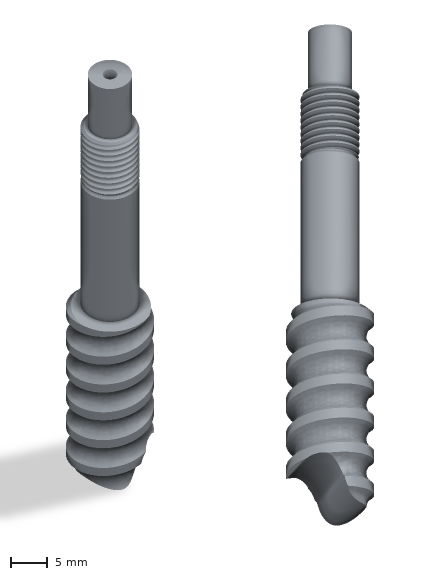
import cadquery as cq
import math

total_length = 70.0
tip_length = 9.0
thread_length = 10.0
worm_length = 29.0
thread_top = total_length - tip_length
thread_bottom = thread_top - thread_length

worm_diameter = 12.0
shaft_diameter = 8.0
relief_diameter = 7.3
tip_diameter = 6.0
worm_radius = worm_diameter / 2
shaft_radius = shaft_diameter / 2
relief_radius = relief_diameter / 2

thread_turns = 10
thread_pitch = thread_length / thread_turns
thread_crest_width = 0.2
thread_depth = 0.55
relief_depth = shaft_radius - relief_radius
thread_overcut = 0.1
relief_width = 0.2

pitch_ratio = 5
worm_pitch = pitch_ratio * thread_pitch
worm_groove_radius = 2.0
worm_groove_depth = 1.05
worm_groove_start = -4.35
worm_groove_top = worm_length + worm_pitch / 2

centre_hole_diameter = 1.0
centre_mouth_diameter = 2.0
centre_hole_depth = 2.0

lobe_radius = worm_radius / 2


def cylinder(diameter, bottom, top):
    return cq.Workplane("XY").workplane(offset=bottom).circle(diameter / 2).extrude(top - bottom)


def helical_cutter(profile, pitch, height, path_radius, start):
    """Sweep an XZ profile up a right-handed helix that starts on the +X side."""
    path = cq.Wire.makeHelix(pitch, height, path_radius).translate(cq.Vector(0, 0, start))
    return profile.sweep(cq.Workplane(obj=path), isFrenet=True)


def worm_groove():
    centre_radius = worm_radius - worm_groove_depth + worm_groove_radius
    profile = cq.Workplane("XZ").center(centre_radius, worm_groove_start).circle(worm_groove_radius)
    height = worm_groove_top - worm_groove_start
    cutter = helical_cutter(profile, worm_pitch, height, centre_radius, worm_groove_start)
    return cutter.rotate((0, 0, 0), (0, 0, 1), -90)


def thread_groove():
    start = thread_bottom + relief_depth + relief_width / 2
    half_width = (thread_pitch - thread_crest_width) / 2
    outer_half_width = half_width * (thread_depth + thread_overcut) / thread_depth
    outer_radius = shaft_radius + thread_overcut
    profile = (
        cq.Workplane("XZ")
        .moveTo(shaft_radius - thread_depth, start)
        .lineTo(outer_radius, start + outer_half_width)
        .lineTo(outer_radius, start - outer_half_width)
        .close()
    )
    height = thread_top + thread_pitch - start
    return helical_cutter(profile, thread_pitch, height, shaft_radius, start)


def thread_relief():
    """Ring with 45 degree flanks below the thread."""
    return (
        cq.Workplane("XZ")
        .moveTo(shaft_radius, thread_bottom)
        .lineTo(relief_radius, thread_bottom + relief_depth)
        .lineTo(relief_radius, thread_bottom + relief_depth + relief_width)
        .lineTo(shaft_radius, thread_bottom + 2 * relief_depth + relief_width)
        .close()
        .revolve(360, (0, 0, 0), (0, 1, 0))
    )


def centre_drilling():
    """Cylindrical hole with a 60 degree conical mouth."""
    hole_radius = centre_hole_diameter / 2
    mouth_radius = centre_mouth_diameter / 2
    mouth_depth = (mouth_radius - hole_radius) / math.tan(math.radians(30))
    return (
        cq.Workplane("XZ")
        .moveTo(0, total_length)
        .lineTo(mouth_radius, total_length)
        .lineTo(hole_radius, total_length - mouth_depth)
        .lineTo(hole_radius, total_length - centre_hole_depth)
        .lineTo(0, total_length - centre_hole_depth)
        .close()
        .revolve(360, (0, 0, 0), (0, 1, 0))
    )


def drive_end_envelope():
    """Kept region: rounded tongue on the -Y half, concave seat on the +Y half."""
    return (
        cq.Workplane("YZ")
        .moveTo(-worm_radius, lobe_radius)
        .threePointArc((-lobe_radius, 0), (0, lobe_radius))
        .threePointArc((lobe_radius, 2 * lobe_radius), (worm_radius, lobe_radius))
        .lineTo(worm_radius, worm_length)
        .lineTo(-worm_radius, worm_length)
        .close()
        .extrude(worm_radius, both=True)
    )


worm_blank = cylinder(worm_diameter, 0, worm_length).rotate((0, 0, 0), (0, 0, 1), 180)
worm = worm_blank.cut(worm_groove()).intersect(drive_end_envelope())

threaded_shaft = (
    cylinder(shaft_diameter, worm_length, thread_top)
    .faces(">Z")
    .chamfer(relief_depth)
    .cut(thread_relief())
    .cut(thread_groove())
)

tip = cylinder(tip_diameter, thread_top, total_length).cut(centre_drilling())

result = worm.union(threaded_shaft).union(tip)